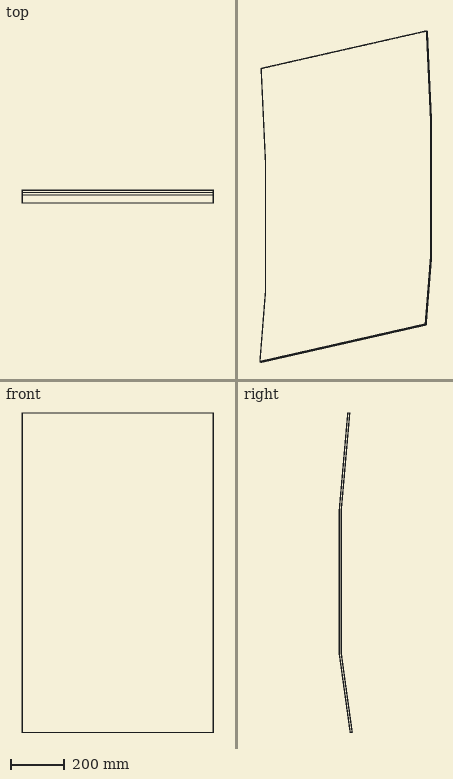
import cadquery as cq
import math

width = 711.0
height = 1189.0
thickness = 8.0
lower_bend_z = 292.0
upper_bend_z = 828.0
lower_tilt = math.radians(7.9)
upper_tilt = math.radians(5)

lower_setback = lower_bend_z * math.tan(lower_tilt)
upper_setback = (height - upper_bend_z) * math.tan(upper_tilt)

lower_back_bend_z = lower_bend_z + thickness * math.tan(lower_tilt / 2)
upper_back_bend_z = upper_bend_z - thickness * math.tan(upper_tilt / 2)

profile = [
    (lower_setback, 0),
    (0, lower_bend_z),
    (0, upper_bend_z),
    (upper_setback, height),
    (
        upper_setback + thickness * math.cos(upper_tilt),
        height - thickness * math.sin(upper_tilt),
    ),
    (thickness, upper_back_bend_z),
    (thickness, lower_back_bend_z),
    (
        lower_setback + thickness * math.cos(lower_tilt),
        thickness * math.sin(lower_tilt),
    ),
]

result = cq.Workplane("YZ").polyline(profile).close().extrude(width)